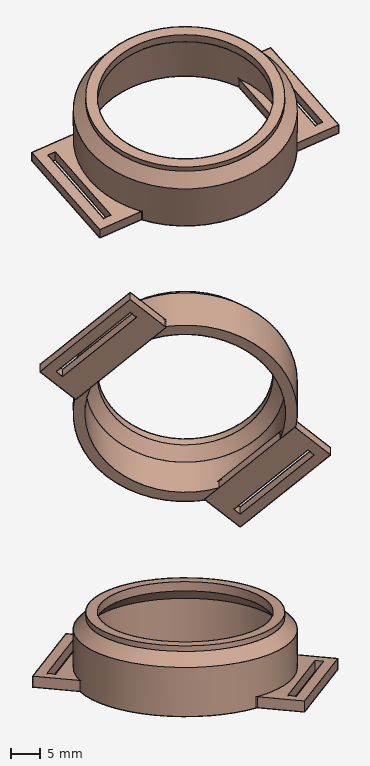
import cadquery as cq

BODY_DIAMETER = 38.25
COLLAR_DIAMETER = 34.0
BORE_DIAMETER = 34.2
NECK_DIAMETER = 30.0
TOTAL_HEIGHT = 12.1
COLLAR_HEIGHT = 1.0
SHOULDER_HEIGHT = (BODY_DIAMETER - COLLAR_DIAMETER) / 2
NECK_HEIGHT = 1.7
NECK_SLOPE_HEIGHT = (BORE_DIAMETER - NECK_DIAMETER) / 2

OVERALL_LENGTH = 48.0
LUG_WIDTH = 22.0
LUG_THICKNESS = 2.0
LUG_INNER_Y = 15.4
SLOT_LENGTH = 18.0
SLOT_WIDTH = 1.5
SLOT_MARGIN = (LUG_WIDTH - SLOT_LENGTH) / 2


def make_lug(side):
    """Slotted plate that runs through the ring wall; side is -1 or +1 along Y."""
    outer_y = OVERALL_LENGTH / 2
    length = outer_y - LUG_INNER_Y
    plate_y = side * (outer_y + LUG_INNER_Y) / 2
    slot_y = side * (outer_y - SLOT_MARGIN - SLOT_WIDTH / 2)
    plate = (
        cq.Workplane("XY")
        .center(0, plate_y)
        .rect(LUG_WIDTH, length)
        .extrude(LUG_THICKNESS)
    )
    slot = (
        cq.Workplane("XY")
        .center(0, slot_y)
        .rect(SLOT_LENGTH, SLOT_WIDTH)
        .extrude(LUG_THICKNESS)
    )
    return plate.cut(slot)


def make_housing(lugs):
    """Revolved ring with sloped shoulders, a top collar and notches for the lugs."""
    body_radius = BODY_DIAMETER / 2
    collar_radius = COLLAR_DIAMETER / 2
    bore_radius = BORE_DIAMETER / 2
    neck_radius = NECK_DIAMETER / 2
    collar_base_z = TOTAL_HEIGHT - COLLAR_HEIGHT
    shoulder_base_z = collar_base_z - SHOULDER_HEIGHT
    neck_base_z = TOTAL_HEIGHT - NECK_HEIGHT
    bore_top_z = neck_base_z - NECK_SLOPE_HEIGHT
    profile = [
        (bore_radius, 0),
        (body_radius, 0),
        (body_radius, shoulder_base_z),
        (collar_radius, collar_base_z),
        (collar_radius, TOTAL_HEIGHT),
        (neck_radius, TOTAL_HEIGHT),
        (neck_radius, neck_base_z),
        (bore_radius, bore_top_z),
    ]
    ring = cq.Workplane("XZ").polyline(profile).close().revolve(360, (0, 0, 0), (0, 1, 0))
    for lug in lugs:
        ring = ring.cut(lug)
    return ring


lugs = [make_lug(side) for side in (-1, 1)]
housing = make_housing(lugs)

result = cq.Compound.makeCompound([housing.val(), *[lug.val() for lug in lugs]])